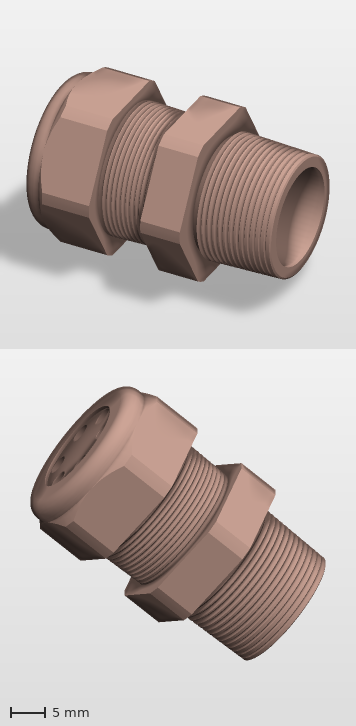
import cadquery as cq
import math


dome_end = 2.8
nut_end = 11.85
wrench_hex_start = 20.35
wrench_hex_end = 26.88
length = 39.88

across_flats = 23.9
across_rounded_corners = 26.5
corner_radius = across_rounded_corners / 2
across_corners = across_flats / math.cos(math.pi / 6)

dome_radius = across_flats / 2
dome_fillet = 2.05
nut_chamfer = corner_radius - dome_radius

ridge_height_per_pitch = math.cos(math.pi / 6)
taper_per_length = 1 / 32
nut_thread_ridges = 12
nut_thread_root_radius = 9.8
nut_thread_crest_radius = 10.4
nut_thread_first_root = 11.4
nut_thread_last_root = 20.58
nut_thread_pitch = (nut_thread_last_root - nut_thread_first_root) / nut_thread_ridges
entry_thread_ridges = 13
entry_thread_root_radius = 9.2
entry_thread_crest_radius = 9.85
entry_thread_first_root = 28.27
entry_thread_last_root = length
entry_thread_pitch = (entry_thread_last_root - entry_thread_first_root) / entry_thread_ridges

neck_radius = 9.05
neck_straight = 0.15

insert_radius = 7.6
insert_length = nut_end
recess_radius = 7.38
recess_depth = 0.5
cable_hole_count = 6
cable_hole_radius = 1.5
cable_hole_circle_radius = 5.8


def cylinder(start, end, radius):
    """Cylinder on the X axis."""
    return cq.Workplane("YZ", origin=(start, 0, 0)).circle(radius).extrude(end - start)


def revolve_about_x(outline):
    """Solid of revolution from a closed (X, radius) outline."""
    return outline.close().revolve(360, (0, 0, 0), (1, 0, 0))


def hexagon(start, end):
    """Hexagonal prism with flats on top and bottom and corners rounded by a cylinder."""
    prism = cq.Workplane("YZ", origin=(start, 0, 0)).polygon(6, across_corners).extrude(end - start)
    return prism.intersect(cylinder(start, end, corner_radius))


def dome_nut():
    """Hexagonal nut with a domed collar and a 45 degree chamfer on its front corners."""
    collar = cylinder(0, dome_end, dome_radius).faces("<X").edges().fillet(dome_fillet)
    envelope = cylinder(dome_end, nut_end, corner_radius).faces("<X").edges().chamfer(nut_chamfer)
    return hexagon(dome_end, nut_end).intersect(envelope).union(collar)


def thread(start, end, first_root, pitch, root_radius, crest_radius):
    """Tapered thread of ring ridges between two stations; the crest radius is the one at its start."""
    sharp_radius = root_radius + pitch * ridge_height_per_pitch
    ridge_count = math.ceil((end - first_root) / pitch)
    outline = cq.Workplane("XY").moveTo(first_root, 0).lineTo(first_root, root_radius)
    for ridge in range(ridge_count):
        root = first_root + ridge * pitch
        outline = outline.lineTo(root + pitch / 2, sharp_radius).lineTo(root + pitch, root_radius)
    ridges = revolve_about_x(outline.lineTo(first_root + ridge_count * pitch, 0))

    end_radius = crest_radius - taper_per_length * (end - start)
    taper_outline = cq.Workplane("XY").moveTo(start, 0).lineTo(start, crest_radius)
    taper = revolve_about_x(taper_outline.lineTo(end, end_radius).lineTo(end, 0))
    return ridges.intersect(taper)


def neck():
    """Neck that sweeps up to a single ridge and down its flank to the entry thread's first root."""
    flank_height = entry_thread_crest_radius - entry_thread_root_radius
    flank_length = flank_height / (2 * ridge_height_per_pitch)
    outline = cq.Workplane("XY").moveTo(wrench_hex_end, 0).lineTo(wrench_hex_end, neck_radius)
    outline = outline.lineTo(wrench_hex_end + neck_straight, neck_radius)
    outline = outline.tangentArcPoint(
        (entry_thread_first_root - flank_length, entry_thread_crest_radius), relative=False
    )
    outline = outline.lineTo(entry_thread_first_root, entry_thread_root_radius)
    return revolve_about_x(outline.lineTo(entry_thread_first_root, 0))


def gland_housing():
    """Nut, threads and wrench hexagon in one piece, bored through for the insert."""
    nut_thread = thread(
        start=nut_end,
        end=wrench_hex_start,
        first_root=nut_thread_first_root,
        pitch=nut_thread_pitch,
        root_radius=nut_thread_root_radius,
        crest_radius=nut_thread_crest_radius,
    )
    entry_thread = thread(
        start=entry_thread_first_root,
        end=length,
        first_root=entry_thread_first_root,
        pitch=entry_thread_pitch,
        root_radius=entry_thread_root_radius,
        crest_radius=entry_thread_crest_radius,
    )
    housing = dome_nut().union(nut_thread).union(hexagon(wrench_hex_start, wrench_hex_end))
    housing = housing.union(neck()).union(entry_thread)
    return housing.cut(cylinder(0, length, insert_radius))


def sealing_insert():
    """Plug flush with the dome, with a shallow front recess and a ring of cable holes."""
    insert = cylinder(0, insert_length, insert_radius).cut(cylinder(0, recess_depth, recess_radius))
    holes = (
        cq.Workplane("YZ")
        .polarArray(cable_hole_circle_radius, 90, 360, cable_hole_count)
        .circle(cable_hole_radius)
        .extrude(insert_length)
    )
    return insert.cut(holes)


housing = gland_housing()
insert = sealing_insert()
result = cq.Compound.makeCompound([housing.val(), insert.val()])